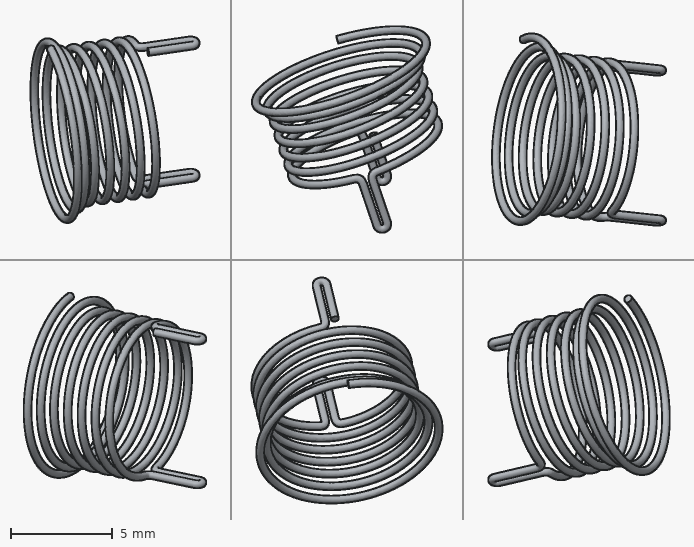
import cadquery as cq
import math

wire_diameter = 0.4
coil_radius = 3.8
coil_pitch = 0.78
coil_turns = 4.5

flare_pitch = 0.5
flare_turns = 2
flare_growth_per_turn = 0.42

pin_length = 3.07
leg_spacing = 0.5
leg_start = 0.4
bend_reach = 0.6

wire_radius = wire_diameter / 2
leg_offset = leg_spacing / 2
leg_end = pin_length - wire_radius - leg_offset
bend_angle = math.asin(bend_reach / coil_radius)


def coil_point(angle):
    """Point at an angle from the bottom, turning through +X towards the top."""
    return cq.Vector(
        coil_radius * math.sin(angle),
        -coil_pitch * angle / (2 * math.pi),
        -coil_radius * math.cos(angle),
    )


def coil_tangent(angle):
    """Unit direction of the coil centreline at an angle from the bottom."""
    return cq.Vector(
        coil_radius * math.cos(angle),
        -coil_pitch / (2 * math.pi),
        coil_radius * math.sin(angle),
    ).normalized()


def coil_helix(start_angle, end_angle):
    """Centreline of the cylindrical coil between two angles from the bottom."""
    turns = (end_angle - start_angle) / (2 * math.pi)
    helix = cq.Wire.makeHelix(coil_pitch, coil_pitch * turns, coil_radius)
    return on_coil_axis(helix, start_angle, coil_point(start_angle).y)


def on_coil_axis(helix, start_angle, start_y):
    """Move a helix about Z onto the coil axis, advancing towards -Y."""
    origin, z_axis, x_axis = cq.Vector(), cq.Vector(0, 0, 1), cq.Vector(1, 0, 0)
    turned = helix.rotate(origin, z_axis, math.degrees(start_angle) - 90)
    return turned.rotate(origin, x_axis, 90).translate(cq.Vector(0, start_y, 0))


def hairpin(start_x, z):
    """Two parallel legs joined by a half-round bend, starting on the leg at start_x."""
    first_base = cq.Vector(start_x, leg_start, z)
    first_tip = cq.Vector(start_x, leg_end, z)
    crown = cq.Vector(0, leg_end + leg_offset, z)
    second_tip = cq.Vector(-start_x, leg_end, z)
    second_base = cq.Vector(-start_x, leg_start, z)
    return [
        cq.Edge.makeLine(first_base, first_tip),
        cq.Edge.makeThreePointArc(first_tip, crown, second_tip),
        cq.Edge.makeLine(second_tip, second_base),
    ]


def bend(start, start_direction, end, end_direction):
    """Smooth bend that leaves and arrives along the given directions."""
    return cq.Edge.makeSpline([start, end], tangents=[start_direction, end_direction])


def sweep_wire(path, start, direction):
    """Round wire along a path that begins at start, heading in direction."""
    profile = cq.Workplane(cq.Plane(start, normal=direction)).circle(wire_radius)
    return profile.sweep(cq.Workplane(obj=path))


toward_pin_tip = cq.Vector(0, 1, 0)
toward_coil = cq.Vector(0, -1, 0)
ring_top = cq.Vector(-bend_reach, 0, coil_radius * math.cos(bend_angle))
ring_bottom = cq.Vector(-bend_reach, 0, -ring_top.z)
ring_middle = cq.Vector(-coil_radius, 0, 0)
coil_start = coil_point(bend_angle)

edges = hairpin(leg_offset, coil_radius)
edges.append(bend(
    cq.Vector(-leg_offset, leg_start, coil_radius), toward_coil,
    ring_top, cq.Vector(-math.cos(bend_angle), 0, -math.sin(bend_angle)),
))
edges.append(cq.Edge.makeThreePointArc(ring_top, ring_middle, ring_bottom))
edges.append(bend(
    ring_bottom, cq.Vector(math.cos(bend_angle), 0, -math.sin(bend_angle)),
    cq.Vector(-leg_offset, leg_start, -coil_radius), toward_pin_tip,
))
edges += hairpin(-leg_offset, -coil_radius)
edges.append(bend(
    cq.Vector(leg_offset, leg_start, -coil_radius), toward_coil,
    coil_start, coil_tangent(bend_angle),
))
formed_path = cq.Wire.assembleEdges(edges)
free_leg_base = cq.Vector(leg_offset, leg_start, coil_radius)
formed_end = sweep_wire(formed_path, free_leg_base, toward_pin_tip)

coil_end_angle = 2 * math.pi * coil_turns
coil_path = coil_helix(bend_angle, coil_end_angle)
coil = sweep_wire(coil_path, coil_start, coil_tangent(bend_angle))

flare_angle = math.degrees(math.atan2(flare_growth_per_turn, flare_pitch))
coil_end = coil_point(coil_end_angle)
flare_slant_pitch = math.hypot(flare_pitch, flare_growth_per_turn)
flare_slant_length = flare_slant_pitch * flare_turns
flare_path = on_coil_axis(
    cq.Wire.makeHelix(flare_slant_pitch, flare_slant_length, coil_radius, angle=flare_angle),
    coil_end_angle,
    coil_end.y,
)
flare = sweep_wire(flare_path, coil_end, coil_tangent(coil_end_angle))
result = formed_end.union(coil).union(flare)